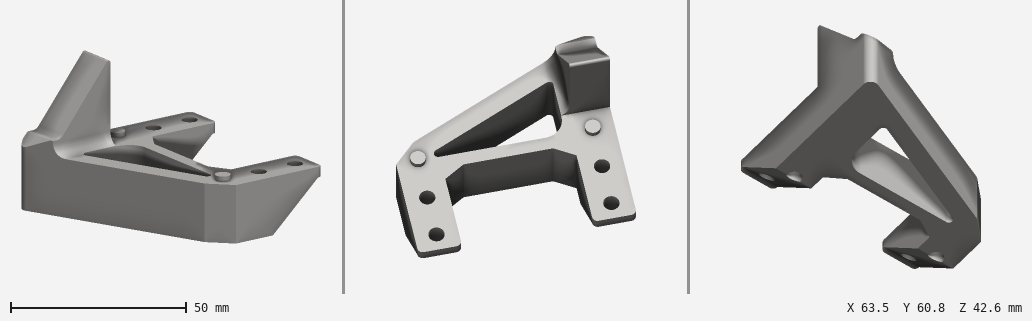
import cadquery as cq
import math

width = 63.5
body_height = 17.45

arm_width = 12.7
arm_length = 22.85
arm_corner_radius = 1.6
notch_depth = 26.55
notch_corner_run = 6.05
arm_tip_thickness = 3.2
tip_flat_length = 1.6
bevel_foot_length = 17.45

hole_diameter = 4.65
pin_diameter = 4.45
pin_height = 1.6
first_hole_inset = 5.1
hole_spacing = 12.7
pin_y = -(first_hole_inset + 2 * hole_spacing)
row_positions = (arm_width / 2, width - arm_width / 2)

right_chamfer = 6.35
right_side_end = pin_y
slant_right_y = right_side_end - right_chamfer
slant_right_x = width - right_chamfer
slant_left_y = -62.15
slant_slope = (slant_right_y - slant_left_y) / slant_right_x
nose_radius = 2.55

window_left = 14.2
window_back = pin_y
front_wall_thickness = 6.0
window_large_radius = 5.85
window_small_radius = 1.2

horn_width = 11.7
horn_height = 42.6
horn_back = -36.8
horn_tip_radius = 0.7
horn_slope_angle = math.radians(51)
horn_foot_radius = 2.65
horn_root_radius = 3.8
ledge_height = 22.2
ledge_front = -57.4


def make_plan():
    """Outer plan outline, before rounding its corners."""
    notch_right = width - arm_width
    return [
        (0, 0),
        (arm_width, 0),
        (arm_width, -arm_length),
        (arm_width + notch_corner_run, -notch_depth),
        (notch_right - notch_corner_run, -notch_depth),
        (notch_right, -arm_length),
        (notch_right, 0),
        (width, 0),
        (width, right_side_end),
        (slant_right_x, slant_right_y),
        (0, slant_left_y),
    ]


def make_blank():
    """Plan extruded to the horn height, with rounded vertical corners."""
    blank = cq.Workplane("XY").polyline(make_plan()).close().extrude(horn_height)
    blank = blank.edges("|Z and >Y").fillet(arm_corner_radius)
    return blank.edges("|Z and <Y").fillet(nose_radius)


def make_side_envelope():
    """Side profile along Y and Z: beveled arms, horn, ledge and front chamfer."""
    front_drop = ledge_front - slant_left_y
    horn_slope = math.tan(horn_slope_angle)
    slope_offset_at_crest = horn_tip_radius * (1 + math.tan(horn_slope_angle / 2))
    sharp_tip_height = horn_height + slope_offset_at_crest * horn_slope
    horn_foot_y = horn_back - (sharp_tip_height - ledge_height) / horn_slope
    side_points = [
        (-bevel_foot_length, 0),
        (-tip_flat_length, body_height - arm_tip_thickness),
        (0, body_height - arm_tip_thickness),
        (0, body_height),
        (horn_back, body_height),
        (horn_back, sharp_tip_height),
        (horn_foot_y, ledge_height),
        (ledge_front, ledge_height),
        (slant_left_y, ledge_height - front_drop),
        (slant_left_y, 0),
    ]
    envelope = cq.Workplane("YZ").polyline(side_points).close().extrude(width)
    envelope = envelope.edges("|X and >Z").fillet(horn_tip_radius)
    horn_foot = cq.selectors.NearestToPointSelector((width / 2, horn_foot_y, ledge_height))
    return envelope.edges(horn_foot).fillet(horn_foot_radius)


def make_front_envelope():
    """Front profile along X and Z: horn on the left, filleted down to the body."""
    profile = (
        cq.Workplane("XZ")
        .lineTo(width, 0)
        .lineTo(width, body_height)
        .lineTo(horn_width + horn_root_radius, body_height)
        .radiusArc((horn_width, body_height + horn_root_radius), horn_root_radius)
        .lineTo(horn_width, horn_height)
        .lineTo(0, horn_height)
        .close()
    )
    return profile.extrude(-slant_left_y)


def make_window():
    """Triangular opening whose front side runs parallel to the slanted wall."""
    wall_rise = front_wall_thickness * math.hypot(1, slant_slope)
    inner_left_y = slant_left_y + wall_rise
    window_front = inner_left_y + slant_slope * window_left
    window_right = (window_back - inner_left_y) / slant_slope
    corners = [(window_left, window_back), (window_right, window_back), (window_left, window_front)]
    window = cq.Workplane("XY").polyline(corners).close().extrude(horn_height)
    window = window.edges("|Z and (>X or <Y)").fillet(window_small_radius)
    large_corner = cq.selectors.NearestToPointSelector((window_left, window_back, horn_height / 2))
    return window.edges(large_corner).fillet(window_large_radius)


def make_holes():
    """Two through holes in each arm."""
    centers = [(x, -first_hole_inset - i * hole_spacing) for x in row_positions for i in range(2)]
    return cq.Workplane("XY").pushPoints(centers).circle(hole_diameter / 2).extrude(body_height)


def make_pins():
    """One locating pin standing on the body in front of each pair of holes."""
    centers = [(x, pin_y) for x in row_positions]
    pins = cq.Workplane("XY").workplane(offset=body_height / 2).pushPoints(centers)
    return pins.circle(pin_diameter / 2).extrude(body_height / 2 + pin_height)


body = make_blank().intersect(make_side_envelope()).intersect(make_front_envelope())
result = body.cut(make_window()).cut(make_holes()).union(make_pins())